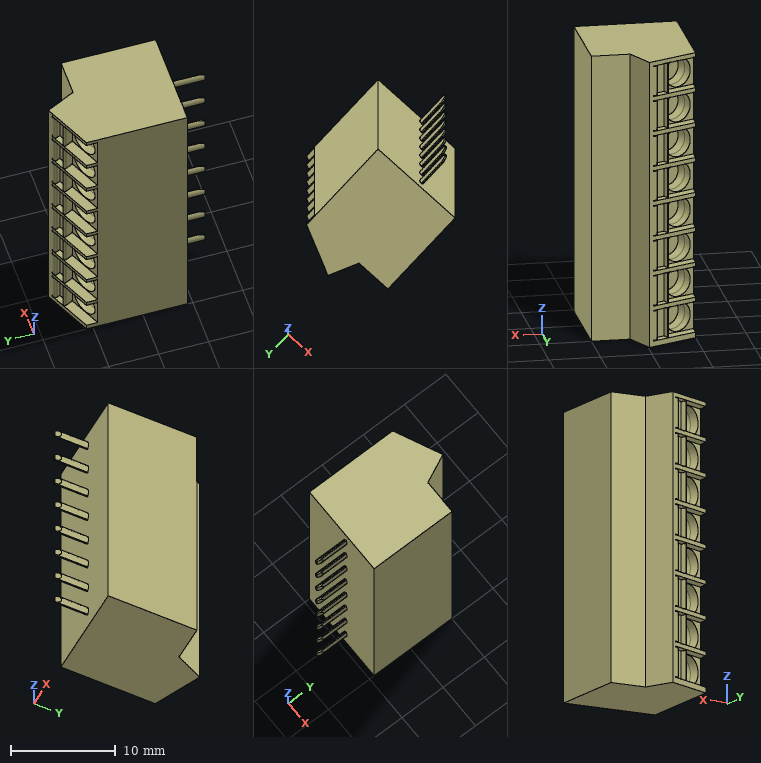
import cadquery as cq
import math

body_width = 10.0
body_height = 28.6
overall_depth = 15.9
pin_length = 3.5
peak_y = overall_depth - pin_length
shoulder_y = 9.5
peak_x = 4.9
slope_angle = math.radians(25)
slope_cos = math.cos(slope_angle)
slope_sin = math.sin(slope_angle)
left_wall_y = peak_y - peak_x * math.tan(slope_angle)
notch_x = peak_x + (peak_y - shoulder_y) * math.tan(slope_angle)

pole_count = 8
pole_row_length = 24.5
pole_pitch = pole_row_length / (pole_count - 1)
first_pocket_z = 2.12
first_pin_z = 2.3

pocket_height = 3.05
pocket_depth = 1.03
pocket_end = 4.85

button_height = 2.92
button_start = 3.05
button_groove_start = 3.3
button_groove_end = 4.38
button_groove_depth = 0.57
button_edge_radius = 0.2

bore_position = 1.37
bore_diameter = 2.92
bore_depth = 0.92
funnel_depth = 0.85
funnel_end_diameter = 2.57
bore_stop_x = 3.37

pin_left_x = 5.38
pin_thickness = 0.45
pin_height = 1.0
pin_left_bulge = 0.23
pin_right_bulge = 0.11
pin_tip_thickness = 0.25
pin_tip_height = 0.77
pin_tip_length = 0.63
pin_root = 0.3


def slope_workplane(z):
    """Plane normal to Z: local x runs up the sloped face, local y points out of it."""
    plane = cq.Plane(
        origin=(0, left_wall_y, z),
        xDir=(slope_cos, slope_sin, 0),
        normal=(0, 0, 1),
    )
    return cq.Workplane(plane)


def make_housing():
    outline = [
        (0, 0),
        (body_width, 0),
        (body_width, shoulder_y),
        (notch_x, shoulder_y),
        (peak_x, peak_y),
        (0, left_wall_y),
    ]
    return cq.Workplane("XY").polyline(outline).close().extrude(body_height)


def make_pocket(z):
    """Cutter for one pocket, reaching past the left wall and above the sloped face."""
    corners = [
        (-pocket_depth, -pocket_depth),
        (pocket_end, -pocket_depth),
        (pocket_end, pocket_depth),
        (-pocket_depth, pocket_depth),
    ]
    return slope_workplane(z).polyline(corners).close().extrude(pocket_height / 2, both=True)


def make_button(z):
    """Button block with a groove across it and rounded edges facing the wire entry."""
    r = button_edge_radius
    profile = (
        slope_workplane(z)
        .moveTo(button_start, -pocket_depth)
        .lineTo(button_start, -r)
        .radiusArc((button_start + r, 0), r)
        .lineTo(button_groove_start, 0)
        .lineTo(button_groove_start, -button_groove_depth)
        .lineTo(button_groove_end, -button_groove_depth)
        .lineTo(button_groove_end, -r)
        .radiusArc((button_groove_end + r, 0), r)
        .lineTo(pocket_end, 0)
        .lineTo(pocket_end, -pocket_depth)
        .close()
    )
    return profile.extrude(button_height / 2, both=True)


def make_bore(z):
    """Cutter for one wire entry, square to the pocket floor."""
    center = slope_workplane(z).plane.toWorldCoords((bore_position, -pocket_depth, 0))
    plane = cq.Plane(origin=center, xDir=(0, 0, 1), normal=(slope_sin, -slope_cos, 0))
    bore = cq.Workplane(plane).circle(bore_diameter / 2).extrude(bore_depth)
    funnel = (
        cq.Workplane(plane)
        .workplane(offset=bore_depth)
        .circle(bore_diameter / 2)
        .workplane(offset=funnel_depth)
        .circle(funnel_end_diameter / 2)
        .loft()
    )
    room = cq.Workplane("XY").box(bore_stop_x, peak_y, body_height, centered=False)
    return bore.union(funnel).intersect(room)


def tapered_outline(plane, side_a, side_b, tip_a, tip_b):
    """Pin outline from its root to its tip, between sides that narrow near the tip."""
    taper_start = pin_tip_length - pin_length
    points = [
        (side_a, pin_root),
        (side_a, taper_start),
        (tip_a, -pin_length),
        (tip_b, -pin_length),
        (side_b, taper_start),
        (side_b, pin_root),
    ]
    return cq.Workplane(plane).polyline(points).close().extrude(body_width, both=True)


def make_pin():
    half = pin_height / 2
    half_tip = pin_tip_height / 2
    pin_right_x = pin_left_x + pin_thickness
    bar = (
        cq.Workplane("XZ", origin=(0, pin_root, 0))
        .moveTo(pin_left_x + pin_left_bulge, -half)
        .lineTo(pin_right_x - pin_right_bulge, -half)
        .threePointArc((pin_right_x, 0), (pin_right_x - pin_right_bulge, half))
        .lineTo(pin_left_x + pin_left_bulge, half)
        .threePointArc((pin_left_x, 0), (pin_left_x + pin_left_bulge, -half))
        .close()
        .extrude(pin_root + pin_length)
    )
    across = tapered_outline("XY", pin_left_x, pin_right_x, pin_left_x, pin_left_x + pin_tip_thickness)
    along = tapered_outline("ZY", -half, half, -half_tip, half_tip)
    return bar.intersect(across).intersect(along)


result = make_housing()
for i in range(pole_count):
    z = first_pocket_z + i * pole_pitch
    result = result.cut(make_pocket(z)).union(make_button(z)).cut(make_bore(z))
    result = result.union(make_pin().translate((0, 0, first_pin_z + i * pole_pitch)))